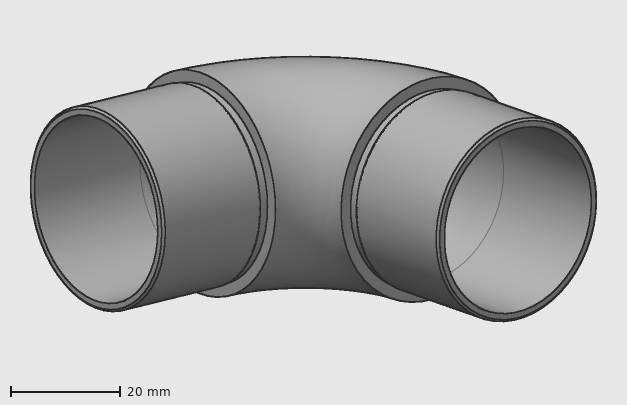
import cadquery as cq

overall_length = 76.0
elbow_diameter = 42.4
spigot_length = 25.1
spigot_diameter = 38.3
groove_diameter = 37.85
groove_width = 1.9
bore_diameter = 35.1
end_chamfer = 0.45

bend_radius = overall_length - spigot_length - elbow_diameter / 2


def bend(diameter):
    """Quarter torus from the -X side of the bend axis round to the +Y side."""
    return (
        cq.Workplane("XZ")
        .center(-bend_radius, 0)
        .circle(diameter / 2)
        .revolve(90, (bend_radius, 0, 0), (bend_radius, -1, 0))
    )


def end_plane(direction):
    """Plane on the elbow face whose outward normal is the given direction."""
    if direction == "-Y":
        return cq.Plane(origin=(-bend_radius, 0, 0), xDir=(1, 0, 0), normal=(0, -1, 0))
    return cq.Plane(origin=(0, bend_radius, 0), xDir=(0, 1, 0), normal=(1, 0, 0))


def spigot(direction):
    """Chamfered solid tube end with a shallow relief groove next to the elbow."""
    plane = end_plane(direction)
    neck = cq.Workplane(plane).circle(groove_diameter / 2).extrude(groove_width)
    sleeve = (
        cq.Workplane(plane)
        .workplane(offset=groove_width)
        .circle(spigot_diameter / 2)
        .extrude(spigot_length - groove_width)
        .faces(cq.selectors.DirectionMinMaxSelector(plane.zDir, True))
        .edges()
        .chamfer(end_chamfer)
    )
    return neck.union(sleeve)


def straight_bore(direction):
    return cq.Workplane(end_plane(direction)).circle(bore_diameter / 2).extrude(spigot_length)


end_directions = ("-Y", "+X")

body = bend(elbow_diameter)
passage = bend(bore_diameter)
for end_direction in end_directions:
    body = body.union(spigot(end_direction))
    passage = passage.union(straight_bore(end_direction))

result = body.cut(passage)